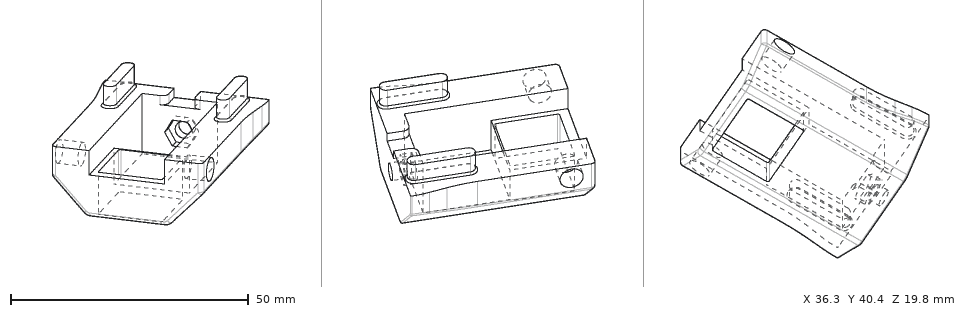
import cadquery as cq
import math

length = 40.4
body_height = 15.0
half_width = 16.73
shoulder_height = 8.1
base_half_width = 9.1
shoulder_radius = 1.0
base_radius = 2.0
front_radius = 0.95
back_radius = 0.32

flare_angle = math.radians(8.8)
concave_run = 6.65
straight_run = 3.9
convex_run = 4.15

pocket_width = 16.7
back_wall = 5.05
floor_height = 1.4
ledge_height = 9.5
ledge_length = 16.6

window_width = 14.2
window_length = 14.0
window_front = 2.2
window_radius = 0.4

slot_width = 5.85
slot_depth = 2.05
slot_radius = 1.5

nut_corner_diameter = 6.7
nut_depth = 2.5
nut_height = 6.85
screw_diameter = 3.7

side_hole_diameter = 5.0
side_hole_depth = 5.0
side_hole_y = 5.25
side_hole_z = 11.88

key_x = 12.52
key_width = 2.8
key_length = 14.65
key_height = 4.8
key_back_gap = 0.65
foot_width = 3.7
foot_height = 0.5

OVERLAP = 0.4


def box(width, y_start, y_end, z_start, z_end):
    """Box centred on X between the given Y and Z limits."""
    return (
        cq.Workplane("XY")
        .box(width, y_end - y_start, z_end - z_start, centered=(True, False, False))
        .translate((0, y_start, z_start))
    )


def side_prism():
    """Full-height prism with the flared outline of the body seen from above."""
    flare_start = length - concave_run - straight_run - convex_run
    arc_rise = math.tan(flare_angle / 2)
    straight_start = (half_width + concave_run * arc_rise, flare_start + concave_run)
    straight_end = (
        straight_start[0] + straight_run * math.tan(flare_angle),
        straight_start[1] + straight_run,
    )
    back_corner = (straight_end[0] + convex_run * arc_rise, length)
    half = (
        cq.Workplane("XY")
        .lineTo(half_width, 0)
        .lineTo(half_width, flare_start)
        .tangentArcPoint(straight_start, relative=False)
        .lineTo(*straight_end)
        .tangentArcPoint(back_corner, relative=False)
        .lineTo(0, length)
        .close()
        .extrude(body_height)
    )
    return half.union(half.mirror("YZ"))


def make_body():
    """Flared prism with its lower sides slanted inwards and its edges rounded."""
    slant = (half_width - base_half_width) / shoulder_height
    top_half_width = base_half_width + slant * body_height
    section = (
        cq.Workplane("XZ")
        .polyline([
            (-base_half_width, 0),
            (base_half_width, 0),
            (top_half_width, body_height),
            (-top_half_width, body_height),
        ])
        .close()
        .extrude(-length)
    )
    body = side_prism().intersect(section)

    base_edges = body.faces("<Z").edges("|Y")
    body = base_edges.fillet(base_radius)
    shoulder_margin = 2.0
    shoulder_box = cq.selectors.BoxSelector(
        (-2 * half_width, -OVERLAP, shoulder_height - OVERLAP),
        (2 * half_width, length + OVERLAP, shoulder_height + shoulder_margin),
    )
    shoulder_edges = body.edges(shoulder_box).edges("not(#Y)")
    body = shoulder_edges.fillet(shoulder_radius)
    body = body.faces("<Y").edges("not(>Z)").fillet(front_radius)
    return body.faces(">Y").edges("not(>Z)").fillet(back_radius)


def pocket_cutter():
    """Deep pocket behind the ledge plus the shallow channel running out over it."""
    pocket_end = length - back_wall
    top = body_height + OVERLAP
    deep = box(pocket_width, ledge_length, pocket_end, floor_height, top)
    channel = box(pocket_width, -OVERLAP, pocket_end, ledge_height, top)
    return deep.union(channel)


def window_cutter():
    window = box(window_width, window_front, window_front + window_length, -OVERLAP, body_height)
    return window.edges("|Z").fillet(window_radius)


def slot_cutter():
    """Slot through the back wall, widening with rounded corners into the pocket."""
    wall_front = length - back_wall
    half_slot = slot_width / 2
    mouth = half_slot + slot_radius
    return (
        cq.Workplane("XY", origin=(0, 0, body_height - slot_depth))
        .moveTo(-mouth, wall_front)
        .lineTo(mouth, wall_front)
        .radiusArc((half_slot, wall_front + slot_radius), slot_radius)
        .lineTo(half_slot, length + OVERLAP)
        .lineTo(-half_slot, length + OVERLAP)
        .lineTo(-half_slot, wall_front + slot_radius)
        .radiusArc((-mouth, wall_front), slot_radius)
        .close()
        .extrude(slot_depth + OVERLAP)
    )


def screw_cutter():
    """Hexagonal nut recess on the pocket side and a round hole through the back wall."""
    wall = cq.Workplane("XZ", origin=(0, length - back_wall, nut_height))
    nut = wall.polygon(6, nut_corner_diameter).extrude(-nut_depth)
    screw = wall.circle(screw_diameter / 2).extrude(-(back_wall + OVERLAP))
    return nut.union(screw)


def side_hole_cutter(side):
    """Blind hole going inwards from the side at X = side * half_width."""
    return (
        cq.Workplane("YZ", origin=(side * half_width, side_hole_y, side_hole_z))
        .circle(side_hole_diameter / 2)
        .extrude(-side * side_hole_depth)
    )


def make_key(side):
    """Round-ended upright key with a foot that slopes out to the top face."""
    center_y = length - key_back_gap - key_length / 2
    spread = foot_width - key_width
    seat = cq.Workplane("XY", origin=(side * key_x, center_y, body_height))
    key = seat.slot2D(key_length, key_width, 90).extrude(key_height)
    taper = math.degrees(math.atan(spread / 2 / foot_height))
    foot = seat.slot2D(key_length + spread, foot_width, 90).extrude(foot_height, taper=taper)
    return key.union(foot)


result = (
    make_body()
    .cut(pocket_cutter())
    .cut(window_cutter())
    .cut(slot_cutter())
    .cut(screw_cutter())
)
for side in (-1, 1):
    result = result.cut(side_hole_cutter(side)).union(make_key(side))